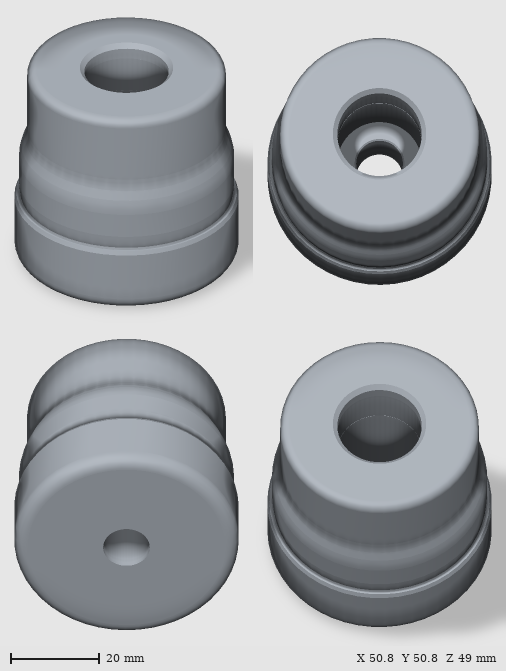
import cadquery as cq
import math

total_height = 49.0
base_radius = 25.4
base_height = 15.75

base_bottom_fillet = 3.0
base_rim_width = 0.43
base_rim_drop = 0.95
shaft_hole_radius = 5.3
shaft_hole_chamfer = 0.35

foot_radius = 24.45
waist_radius = 24.15
waist_height = 16.1
body_radius = 24.4
taper_top = 19.15
body_top = 25.05
neck_radius = 22.5
neck_bottom = 33.3
top_fillet = 2.0

shoulder_angle = math.radians(20)
convex_arc_radius = 10.0
concave_arc_radius = 8.05

bore_radius = 9.55
bore_chamfer = 1.0
relief_depth = 0.05
relief_top = total_height - 3.6
relief_bottom = total_height - 12.15


def convex_point(angle):
    """Point on the convex arc where its tangent leans inwards by the angle."""
    center_radius = body_radius - convex_arc_radius
    return (
        center_radius + convex_arc_radius * math.cos(angle),
        body_top + convex_arc_radius * math.sin(angle),
    )


def concave_point(angle):
    """Point on the concave arc where its tangent leans inwards by the angle."""
    center_radius = neck_radius + concave_arc_radius
    return (
        center_radius - concave_arc_radius * math.cos(angle),
        neck_bottom - concave_arc_radius * math.sin(angle),
    )


def make_base():
    base = cq.Workplane("XY").circle(base_radius).extrude(base_height)
    base = base.faces(">Z").chamfer(base_rim_drop, base_rim_width)
    base = base.faces("<Z").edges().fillet(base_bottom_fillet)
    hole = cq.Workplane("XY").circle(shaft_hole_radius).extrude(base_height)
    countersink = cq.Solid.makeCone(
        shaft_hole_radius,
        shaft_hole_radius + shaft_hole_chamfer,
        shaft_hole_chamfer,
        pnt=cq.Vector(0, 0, base_height - shaft_hole_chamfer),
    )
    return base.cut(hole).cut(cq.Workplane(countersink))


def make_sleeve_blank():
    """Solid sleeve shape, revolved from its outer half profile."""
    half_angle = shoulder_angle / 2
    profile = (
        cq.Workplane("XZ")
        .moveTo(0, base_height)
        .lineTo(foot_radius, base_height)
        .lineTo(waist_radius, waist_height)
        .lineTo(body_radius, taper_top)
        .lineTo(body_radius, body_top)
        .threePointArc(convex_point(half_angle), convex_point(shoulder_angle))
        .lineTo(*concave_point(shoulder_angle))
        .threePointArc(concave_point(half_angle), (neck_radius, neck_bottom))
        .lineTo(neck_radius, total_height)
        .lineTo(0, total_height)
        .close()
    )
    blank = profile.revolve(360, (0, 0, 0), (0, 1, 0))
    return blank.faces(">Z").edges().fillet(top_fillet)


def make_bore():
    """Space inside the sleeve: the bore, its entry chamfer and a shallow relief."""
    mouth_radius = bore_radius + bore_chamfer
    relief_radius = bore_radius + relief_depth
    profile = (
        cq.Workplane("XZ")
        .moveTo(0, base_height)
        .lineTo(bore_radius, base_height)
        .lineTo(bore_radius, relief_bottom)
        .lineTo(relief_radius, relief_bottom)
        .lineTo(relief_radius, relief_top)
        .lineTo(bore_radius, relief_top)
        .lineTo(bore_radius, total_height - bore_chamfer)
        .lineTo(mouth_radius, total_height)
        .lineTo(0, total_height)
        .close()
    )
    return profile.revolve(360, (0, 0, 0), (0, 1, 0))


base = make_base()
sleeve = make_sleeve_blank().cut(make_bore())

result = cq.Compound.makeCompound([base.solids().val(), sleeve.solids().val()])